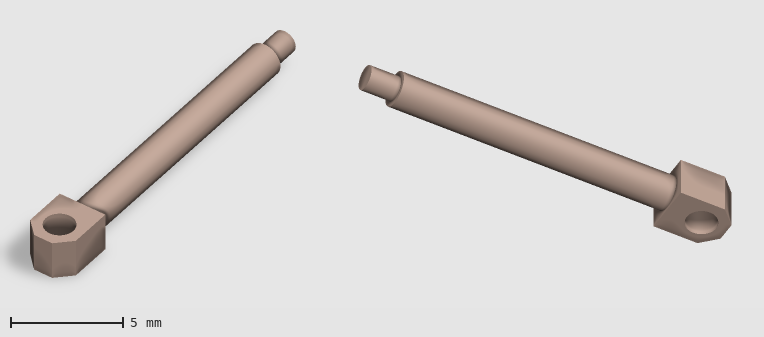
import cadquery as cq

total_length = 18.4

head_width = 2.5
head_length = 3.0
head_height = 2.0
corner_chamfer = 0.75
eye_diameter = 1.5
eye_from_end = 1.25

shank_diameter = 1.7
tip_diameter = 1.2
tip_length = 1.5
shank_length = total_length - head_length - tip_length


def make_head():
    """Block with two chamfered end corners and a vertical through eye."""
    block = cq.Workplane("XY").box(head_width, head_length, head_height, centered=(True, False, True))
    block = block.faces("<Y").edges("|Z").chamfer(corner_chamfer)
    eye = (
        cq.Workplane("XY")
        .center(0, eye_from_end)
        .circle(eye_diameter / 2)
        .extrude(head_height, both=True)
    )
    return block.cut(eye)


def make_rod(diameter, start, length):
    """Cylinder along +Y, beginning at the given Y position."""
    base = cq.Plane(origin=(0, start, 0), xDir=(1, 0, 0), normal=(0, 1, 0))
    return cq.Workplane(base).circle(diameter / 2).extrude(length)


shank = make_rod(shank_diameter, head_length, shank_length)
tip = make_rod(tip_diameter, head_length + shank_length, tip_length)

result = make_head().union(shank).union(tip)